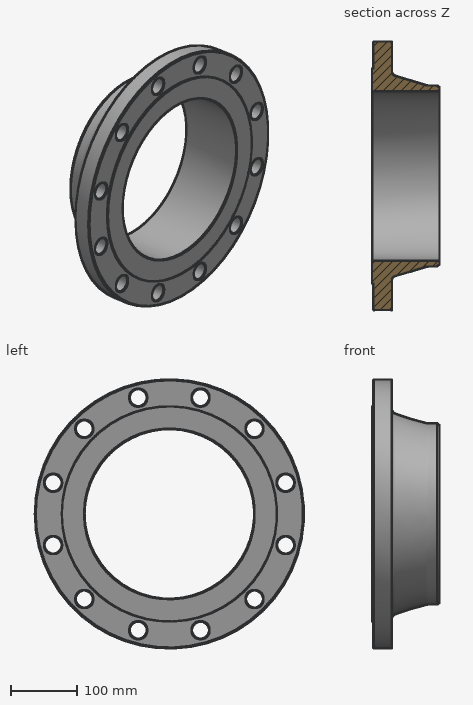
import cadquery as cq

overall_length = 102.0
flange_diameter = 405.0
flange_back = 30.5
front_rim_chamfer = 1.5
back_rim_chamfer = 1.0
raised_face_diameter = 324.0
raised_face_height = 2.0
raised_face_break = 0.5
bore_diameter = 254.7
bore_chamfer = 1.2
hub_base_diameter = 305.0
hub_root_round = 7.0
pipe_diameter = 273.0
pipe_start = 83.0
pipe_blend_round = 8.0
bevel_length = 4.0
bevel_depth = 3.2
bolt_count = 12
bolt_hole_diameter = 25.5
bolt_hole_chamfer = 1.0
bolt_circle_diameter = 362.0

flange_radius = flange_diameter / 2
raised_face_radius = raised_face_diameter / 2
hub_base_radius = hub_base_diameter / 2
pipe_radius = pipe_diameter / 2
bore_radius = bore_diameter / 2


def revolve_profile(points):
    """Revolve a closed (axial, radial) outline about the X axis."""
    return cq.Workplane("XY").polyline(points).close().revolve(360, (0, 0), (1, 0))


def circle_at(axial, radius):
    """Select circular edges at an axial position, up to the given radius."""
    tolerance = 0.05
    return cq.selectors.BoxSelector(
        (axial - tolerance, -radius - tolerance, -radius - tolerance),
        (axial + tolerance, radius + tolerance, radius + tolerance),
        boundingbox=True,
    )


def neck_body():
    """Flange disc with raised face, tapered hub and bevelled pipe end."""
    body = revolve_profile([
        (bore_chamfer, bore_radius),
        (0, bore_radius + bore_chamfer),
        (0, raised_face_radius - raised_face_break),
        (raised_face_break, raised_face_radius),
        (raised_face_height, raised_face_radius),
        (raised_face_height, flange_radius),
        (flange_back, flange_radius),
        (flange_back, hub_base_radius),
        (pipe_start, pipe_radius),
        (overall_length - bevel_length, pipe_radius),
        (overall_length, pipe_radius - bevel_depth),
        (overall_length, bore_radius),
    ])
    body = body.edges(circle_at(flange_back, hub_base_radius)).fillet(hub_root_round)
    body = body.edges(circle_at(pipe_start, pipe_radius)).fillet(pipe_blend_round)
    rim_edges = cq.selectors.RadiusNthSelector(-1)
    for axial, size in ((flange_back, back_rim_chamfer), (raised_face_height, front_rim_chamfer)):
        body = body.edges(circle_at(axial, flange_radius)).edges(rim_edges).chamfer(size)
    return body


def drill_bolt_holes(body):
    """Chamfered through holes on the bolt circle, straddling the Y and Z axes."""
    front_face = cq.Workplane(
        cq.Plane(origin=(raised_face_height, 0, 0), xDir=(0, 1, 0), normal=(-1, 0, 0))
    )
    pitch = 360 / bolt_count
    return (
        body.copyWorkplane(front_face)
        .polarArray(bolt_circle_diameter / 2, pitch / 2, 360, bolt_count)
        .cskHole(bolt_hole_diameter, bolt_hole_diameter + 2 * bolt_hole_chamfer, 90)
    )


result = drill_bolt_holes(neck_body())